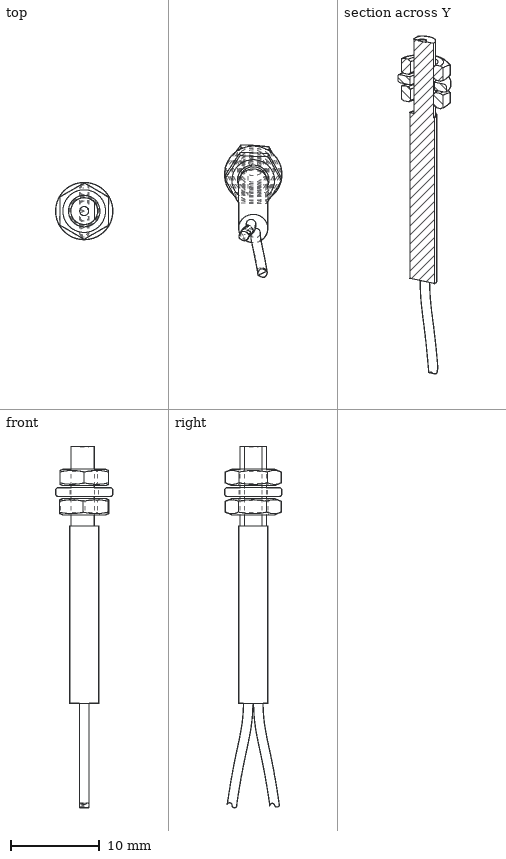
import cadquery as cq
import math

total_length = 40.8
sleeve_diameter = 3.3
sleeve_length = 20.02
barrel_diameter = 3.0
barrel_length = 8.97
barrel_flat_offset = 1.15
face_recess_diameter = 1.0
face_recess_depth = 0.1
barrel_top = sleeve_length + barrel_length
lead_drop = total_length - barrel_top

lead_diameter = 1.1
lead_start_offset = 0.57
lead_mid_offset = 1.43
lead_mid_drop = 5.9
lead_end_offset = 2.4
lead_end_angle = 8.0
break_wave_height = 0.25
break_rise = 0.28
break_cutter_depth = 2.45
lead_overrun = 0.8

nut_across_flats = 5.5
nut_height = 1.88
nut_chamfer_diameter = 4.8
nut_chamfer_angle = 23.0
nut_bore_diameter = barrel_diameter
nut_countersink_diameter = 3.55
upper_nut_bottom = barrel_top - 4.45
lower_nut_bottom = barrel_top - 7.75
lower_nut_turn = -2.0

washer_diameter = 6.5
washer_bore_diameter = 3.2
washer_thickness = 1.0
washer_edge_radius = 0.33
washer_bottom = barrel_top - 5.65


def cylinder(diameter, height, bottom):
    return cq.Workplane("XY").workplane(offset=bottom).circle(diameter / 2).extrude(height)


def make_break_cutter(middle_y, middle_z):
    """Block below an S-shaped break line that lies square to the end of a lead."""
    half = lead_diameter / 2
    reach = lead_diameter
    profile = (
        cq.Workplane("YZ")
        .moveTo(-reach, 0)
        .lineTo(-half, 0)
        .threePointArc((-half / 2, break_wave_height), (0, 0))
        .threePointArc((half / 2, -break_wave_height), (half, 0))
        .lineTo(reach, 0)
        .lineTo(reach, -break_cutter_depth)
        .lineTo(-reach, -break_cutter_depth)
        .close()
    )
    tilt = math.copysign(lead_end_angle, middle_y)
    cutter = profile.extrude(lead_diameter, both=True)
    return cutter.rotate((0, 0, 0), (1, 0, 0), tilt).translate((0, middle_y, middle_z))


def make_lead(side):
    """Curved lead with a broken end; side is +1 or -1 along Y."""
    end_z = break_rise - lead_drop
    end_slope = math.tan(math.radians(lead_end_angle))
    path = (
        cq.Workplane("YZ")
        .moveTo(side * lead_start_offset, 0)
        .spline(
            [(side * lead_mid_offset, -lead_mid_drop), (side * lead_end_offset, end_z)],
            tangents=[(0, -1), (side * end_slope, -1)],
            includeCurrent=True,
        )
        .line(side * lead_overrun * end_slope, -lead_overrun)
    )
    section = cq.Workplane("XY").center(0, side * lead_start_offset).circle(lead_diameter / 2)
    return section.sweep(path).cut(make_break_cutter(side * lead_end_offset, end_z))


def make_sensor():
    barrel = cylinder(barrel_diameter, barrel_length, sleeve_length)
    flat_cutter = (
        cq.Workplane("XY")
        .box(barrel_diameter, barrel_diameter, barrel_length, centered=(False, True, False))
        .translate((barrel_flat_offset, 0, sleeve_length))
    )
    recess = cylinder(face_recess_diameter, face_recess_depth, barrel_top - face_recess_depth)
    sensor = cylinder(sleeve_diameter, sleeve_length, 0).union(barrel.cut(flat_cutter)).cut(recess)
    for side in (1, -1):
        sensor = sensor.union(make_lead(side))
    return sensor


def make_nut(bottom, turn):
    """Hexagon nut with vertices on the Y axis, chamfered corners and a countersunk bore."""
    corner_radius = nut_across_flats / math.sqrt(3)
    face_radius = nut_chamfer_diameter / 2
    chamfer_drop = (corner_radius - face_radius) * math.tan(math.radians(nut_chamfer_angle))
    bore_radius = nut_bore_diameter / 2
    countersink_radius = nut_countersink_diameter / 2
    countersink_depth = countersink_radius - bore_radius
    hexagon = cq.Workplane("XY").polygon(6, 2 * corner_radius).extrude(nut_height)
    hexagon = hexagon.rotate((0, 0, 0), (0, 0, 1), 30 + turn)
    turned_envelope = (
        cq.Workplane("XZ")
        .polyline([
            (countersink_radius, 0),
            (face_radius, 0),
            (corner_radius, chamfer_drop),
            (corner_radius, nut_height - chamfer_drop),
            (face_radius, nut_height),
            (countersink_radius, nut_height),
            (bore_radius, nut_height - countersink_depth),
            (bore_radius, countersink_depth),
        ])
        .close()
        .revolve(360, (0, 0, 0), (0, 1, 0))
    )
    return hexagon.intersect(turned_envelope).translate((0, 0, bottom))


def make_washer():
    disc = cylinder(washer_diameter, washer_thickness, washer_bottom)
    disc = disc.edges().fillet(washer_edge_radius)
    return disc.cut(cylinder(washer_bore_diameter, washer_thickness, washer_bottom))


sensor = make_sensor()
washer = make_washer()
nuts = [
    make_nut(bottom, turn)
    for bottom, turn in ((upper_nut_bottom, 0), (lower_nut_bottom, lower_nut_turn))
]

bodies = [sensor, washer, *nuts]
result = cq.Compound.makeCompound([body.solids().val() for body in bodies])